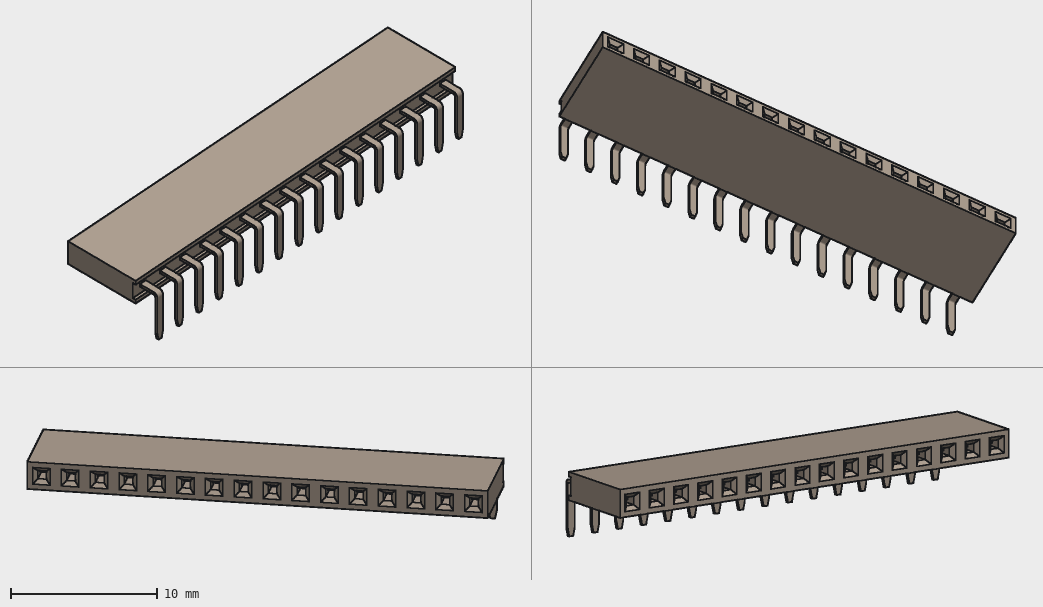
import cadquery as cq

pin_count = 16
row_length = 32.0
pitch = row_length / pin_count

body_depth = 6.35
body_height = pitch
groove_height = 1.3
groove_depth = 0.25

overall_depth = 7.7
overall_height = 4.9
pin_width = 0.58
pin_thickness = 0.22
pin_top = 0.15
bend_radius = 0.35
tip_width = 0.32
tip_length = 0.6
blade_start = 1.0

mouth_width = 1.2
side_clearance = 0.01
bore_width = pin_width + 2 * side_clearance
lead_in_depth = 0.3
bore_depth = 2.0

pin_bottom = body_height / 2 - overall_height
pin_rows = [(index - (pin_count - 1) / 2) * pitch for index in range(pin_count)]


def make_housing():
    """Plain block with a shallow groove along the whole rear face."""
    block = cq.Workplane("XY").box(body_depth, row_length, body_height, centered=(False, True, True))
    groove = cq.Workplane("XY").box(groove_depth, row_length, groove_height, centered=(False, True, True))
    return block.cut(groove.translate((body_depth - groove_depth, 0, 0)))


def make_socket():
    """Cutting tool for one socket, entering from the front face."""
    lead_in = (
        cq.Workplane("YZ")
        .rect(mouth_width, mouth_width)
        .workplane(offset=lead_in_depth)
        .rect(bore_width, bore_width)
        .loft(ruled=True)
    )
    bore = cq.Workplane("YZ").rect(bore_width, bore_width).extrude(bore_depth)
    return lead_in.union(bore)


def make_pin():
    """Flat strip bent down behind the housing, its lower end tapered in width."""
    inner_radius = bend_radius - pin_thickness
    bend_x = overall_depth - bend_radius
    bend_z = pin_top - bend_radius
    strip = (
        cq.Workplane("XZ")
        .moveTo(blade_start, pin_top)
        .lineTo(bend_x, pin_top)
        .radiusArc((overall_depth, bend_z), bend_radius)
        .lineTo(overall_depth, pin_bottom)
        .lineTo(overall_depth - pin_thickness, pin_bottom)
        .lineTo(overall_depth - pin_thickness, bend_z)
        .radiusArc((bend_x, pin_top - pin_thickness), -inner_radius)
        .lineTo(blade_start, pin_top - pin_thickness)
        .close()
        .extrude(pin_width / 2, both=True)
    )
    outline = (
        cq.Workplane("YZ")
        .moveTo(-pin_width / 2, pin_top)
        .lineTo(-pin_width / 2, pin_bottom + tip_length)
        .lineTo(-tip_width / 2, pin_bottom)
        .lineTo(tip_width / 2, pin_bottom)
        .lineTo(pin_width / 2, pin_bottom + tip_length)
        .lineTo(pin_width / 2, pin_top)
        .close()
        .extrude(overall_depth)
    )
    return strip.intersect(outline)


housing = make_housing()
socket = make_socket()
pin = make_pin()

for row in pin_rows:
    housing = housing.cut(socket.translate((0, row, 0)))
for row in pin_rows:
    housing = housing.union(pin.translate((0, row, 0)))

result = housing